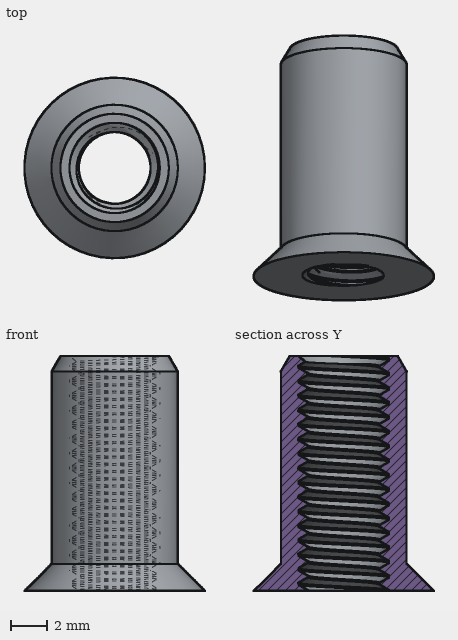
import cadquery as cq
import math

total_height = 13.0
head_radius = 5.0
barrel_radius = 3.5
head_height = head_radius - barrel_radius
tip_radius = 3.0
tip_chamfer_angle = 60.0
tip_chamfer_height = (barrel_radius - tip_radius) * math.tan(math.radians(tip_chamfer_angle))

thread_radius = 2.5
pitch = 0.8
flank_angle = 30.0
flank_slope = math.tan(math.radians(flank_angle))
flat_width = pitch / 8
thread_depth = (pitch / 2 - flat_width) / flank_slope
bore_radius = thread_radius - thread_depth
thread_overrun = 2 * pitch
core_overrun = thread_overrun + 2 * pitch
groove_overlap = 0.04

countersink_angle = 40.0
countersink_apex_depth = thread_radius * math.tan(math.radians(countersink_angle))


def make_outer():
    """Solid of revolution with head, barrel and tip chamfer."""
    profile = (
        cq.Workplane("XZ")
        .lineTo(head_radius, 0)
        .lineTo(barrel_radius, head_height)
        .lineTo(barrel_radius, total_height - tip_chamfer_height)
        .lineTo(tip_radius, total_height)
        .lineTo(0, total_height)
        .close()
    )
    return profile.revolve(360, (0, 0, 0), (0, 1, 0))


def make_thread_core():
    """Bore cylinder joined with a helical thread groove, longer than the part at both ends."""
    inner_radius = bore_radius - groove_overlap
    root_half = flat_width / 2
    mouth_half = root_half + (thread_radius - inner_radius) * flank_slope
    helix_height = total_height + 2 * thread_overrun
    helix = cq.Wire.makeHelix(pitch, helix_height, bore_radius)
    groove = (
        cq.Workplane("XZ")
        .moveTo(inner_radius, -mouth_half)
        .lineTo(thread_radius, -root_half)
        .lineTo(thread_radius, root_half)
        .lineTo(inner_radius, mouth_half)
        .close()
        .sweep(cq.Workplane(obj=helix), isFrenet=True)
        .translate((0, 0, -thread_overrun))
    )
    core_height = total_height + 2 * core_overrun
    core = cq.Workplane("XY").workplane(offset=-core_overrun).circle(bore_radius).extrude(core_height)
    return core.union(groove)


def make_countersink():
    """Cone that opens the bore to the full thread radius at the top face."""
    cone = (
        cq.Workplane("XZ")
        .moveTo(0, total_height)
        .lineTo(thread_radius, total_height)
        .lineTo(0, total_height - countersink_apex_depth)
        .close()
    )
    return cone.revolve(360, (0, 0, 0), (0, 1, 0))


result = make_outer().cut(make_thread_core()).cut(make_countersink()).solids()